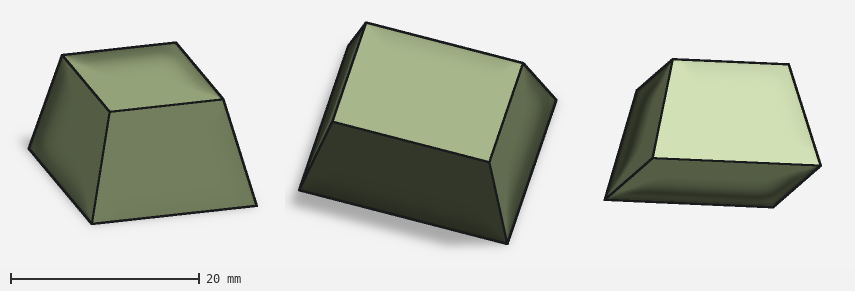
import cadquery as cq

BASE_LENGTH = 23.06
BASE_WIDTH = 18.3
HEIGHT = 11.4
WALL_DRAFT = 14.0


def tapered_block():
    """Rectangular block, base on Z = 0, whose four sides lean inward equally."""
    return (
        cq.Workplane("XY")
        .rect(BASE_LENGTH, BASE_WIDTH)
        .extrude(HEIGHT, taper=WALL_DRAFT)
    )


result = tapered_block()